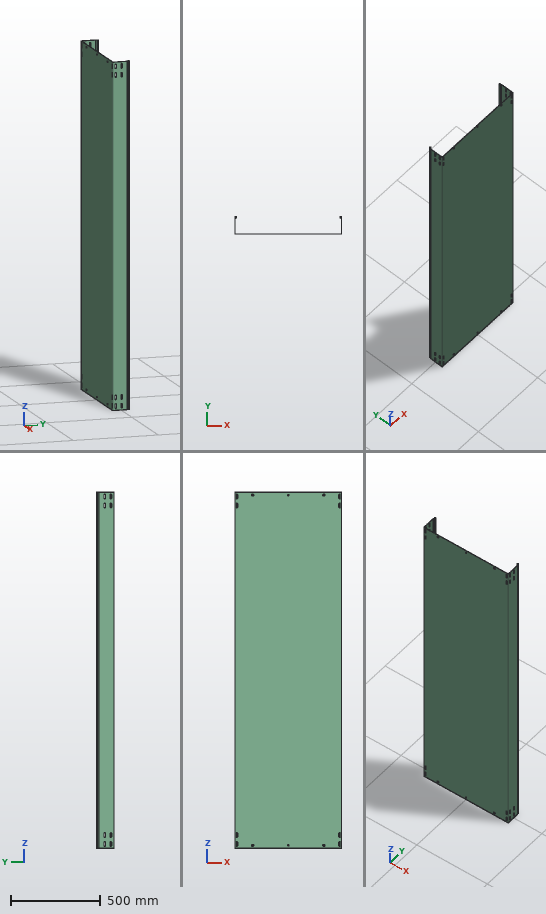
import cadquery as cq
import math

WIDTH = 600.0
DEPTH = 100.0
LENGTH = 2000.0
SHEET = 1.5
BASE_BEND_RADIUS = 1.75

LIP_RADIUS = 4.5
LIP_INSET = 6.2
JOG_ANGLE = 50.0
LIP_END_ANGLE = -30.0

SLOT_LENGTH = 25.0
SLOT_WIDTH = 7.0
SLOT_END_DISTANCES = (25.0, 75.0)
WALL_SLOT_HEIGHTS = (18.0, 53.0)
BASE_SLOT_INSET = 12.0

FIXING_WIDTH = 7.0
FIXING_SLOT_LENGTH = 12.0
FIXING_SLOT_X = 200.0
FIXING_END_DISTANCE = 17.0

HALF_WIDTH = WIDTH / 2
HALF_LENGTH = LENGTH / 2
BASE_Y = -DEPTH / 2
EDGE_Y = DEPTH / 2
SIDES = (-1, 1)


def lip_point(radius, angle):
    """Point of the right-hand lip at a radius and angle (degrees) about its axis."""
    turn = math.radians(angle)
    axis_x = HALF_WIDTH - LIP_INSET
    axis_y = EDGE_Y - LIP_RADIUS
    return (axis_x + radius * math.cos(turn), axis_y + radius * math.sin(turn))


def jog_foot(wall_x, jog_top):
    """Point where the jog line through jog_top leaves the wall face at wall_x."""
    rise = (wall_x - jog_top[0]) * math.tan(math.radians(90 - JOG_ANGLE))
    return (wall_x, jog_top[1] - rise)


def half_section():
    """Right half of the sheet section: base, bend, wall, jog and rolled lip."""
    start_angle = 180 + JOG_ANGLE
    middle_angle = (start_angle + LIP_END_ANGLE) / 2
    bore_radius = LIP_RADIUS - SHEET
    inner_bend_radius = BASE_BEND_RADIUS - SHEET
    inner_wall_x = HALF_WIDTH - SHEET
    outer_jog_top = lip_point(bore_radius, start_angle)
    inner_jog_top = lip_point(LIP_RADIUS, start_angle)

    section = cq.Workplane("XY").moveTo(0, BASE_Y)
    section = section.lineTo(HALF_WIDTH - BASE_BEND_RADIUS, BASE_Y)
    section = section.radiusArc((HALF_WIDTH, BASE_Y + BASE_BEND_RADIUS), -BASE_BEND_RADIUS)
    section = section.lineTo(*jog_foot(HALF_WIDTH, outer_jog_top))
    section = section.lineTo(*outer_jog_top)
    section = section.threePointArc(
        lip_point(bore_radius, middle_angle), lip_point(bore_radius, LIP_END_ANGLE)
    )
    section = section.lineTo(*lip_point(LIP_RADIUS, LIP_END_ANGLE))
    section = section.threePointArc(lip_point(LIP_RADIUS, middle_angle), inner_jog_top)
    section = section.lineTo(*jog_foot(inner_wall_x, inner_jog_top))
    section = section.lineTo(inner_wall_x, BASE_Y + BASE_BEND_RADIUS)
    section = section.radiusArc((inner_wall_x - inner_bend_radius, BASE_Y + SHEET), inner_bend_radius)
    return section.lineTo(0, BASE_Y + SHEET).close()


def tray_body():
    """Full-length tray: the half section extruded and mirrored."""
    half = half_section().extrude(HALF_LENGTH, both=True)
    return half.union(half.mirror("YZ")).clean()


def both_ends(distance):
    """Z positions at a distance from each end of the tray."""
    z = HALF_LENGTH - distance
    return (-z, z)


SLOT_Z = [z for distance in SLOT_END_DISTANCES for z in both_ends(distance)]


def base_plane():
    """Plane in the middle of the base sheet."""
    return cq.Workplane("XZ", origin=(0, BASE_Y + SHEET / 2, 0))


def wall_slots():
    """Joining slots, each cut through both side walls."""
    centres = [(BASE_Y + height, z) for height in WALL_SLOT_HEIGHTS for z in SLOT_Z]
    slots = cq.Workplane("YZ").pushPoints(centres).slot2D(SLOT_LENGTH, SLOT_WIDTH, 90)
    return slots.extrude(HALF_WIDTH, both=True)


def base_slots():
    """Joining slots in the base beside the walls."""
    slot_x = HALF_WIDTH - BASE_SLOT_INSET
    centres = [(side * slot_x, z) for side in SIDES for z in SLOT_Z]
    slots = base_plane().pushPoints(centres).slot2D(SLOT_LENGTH, SLOT_WIDTH, 90)
    return slots.extrude(SHEET, both=True)


def fixing_slots():
    """Crosswise slots at both ends of the base."""
    centres = [(side * FIXING_SLOT_X, z) for side in SIDES for z in both_ends(FIXING_END_DISTANCE)]
    slots = base_plane().pushPoints(centres).slot2D(FIXING_SLOT_LENGTH, FIXING_WIDTH)
    return slots.extrude(SHEET, both=True)


def fixing_holes():
    """Round hole on the centre line at both ends of the base."""
    centres = [(0, z) for z in both_ends(FIXING_END_DISTANCE)]
    return base_plane().pushPoints(centres).circle(FIXING_WIDTH / 2).extrude(SHEET, both=True)


result = tray_body()
for cutter in (wall_slots(), base_slots(), fixing_slots(), fixing_holes()):
    result = result.cut(cutter)